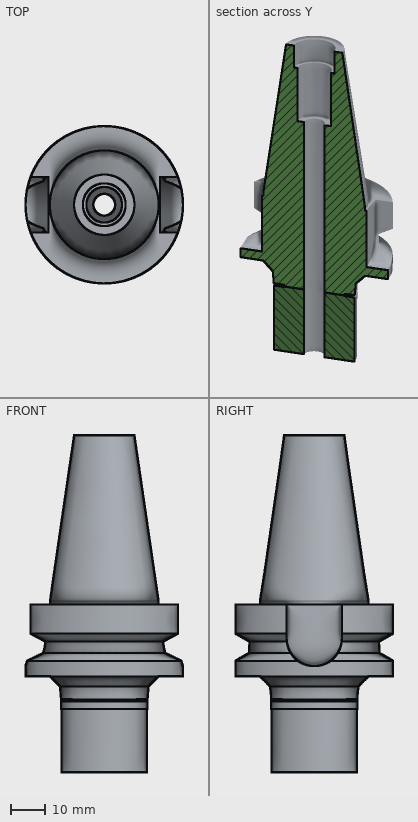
import cadquery as cq
import math


gauge_radius = 31.75 / 2
taper_length = 48.4
taper_ratio = 7 / 24
taper_tip_radius = gauge_radius - taper_length * taper_ratio / 2

flange_radius = 23.0
flange_top_z = -1.0
flange_bottom_z = -22.0
groove_flank_slope = math.tan(math.radians(30))
groove_top_z = -9.5
groove_bottom_z = -17.45
groove_floor_top_radius = 18.95
groove_floor_bottom_radius = 19.1
groove_floor_top_z = groove_top_z - (flange_radius - groove_floor_top_radius) * groove_flank_slope
groove_floor_bottom_z = groove_bottom_z + (flange_radius - groove_floor_bottom_radius) * groove_flank_slope

slot_width = 16.1
slot_floor_x = 16.3
slot_bottom_z = -19.0
slot_arc_center_z = slot_bottom_z + slot_width / 2

nut_shoulder_radius = 12.65
nose_cone_radius = 15.85
nose_top_radius = 12.95
nose_top_z = flange_bottom_z - (nose_cone_radius - nose_top_radius)
nose_bottom_z = -28.75
spigot_radius = 9.45
nut_gap = 0.55

nut_top_z = nose_bottom_z - nut_gap
nut_shoulder_height = 2.2
nut_shoulder_z = nut_top_z - nut_shoulder_height
nut_radius = 12.55
nut_bottom_z = -50.0

counterbore_radius = 6.25
counterbore_depth = 7.0
stud_bore_radius = 5.2
stud_bore_depth = 24.0
through_bore_radius = 3.15


def revolve_profile(points):
    """Solid of revolution about Z from (radius, z) points."""
    return cq.Workplane("XZ").polyline(points).close().revolve(360, (0, 0), (0, 1))


def cylinder(radius, bottom_z, top_z):
    return cq.Workplane("XY").workplane(offset=bottom_z).circle(radius).extrude(top_z - bottom_z)


def drive_slot(side):
    """Round-bottomed cutter, open at the flange top and rim; side is +1 or -1 along X."""
    half_width = slot_width / 2
    return (
        cq.Workplane("YZ")
        .workplane(offset=side * slot_floor_x)
        .moveTo(-half_width, flange_top_z)
        .lineTo(-half_width, slot_arc_center_z)
        .threePointArc((0, slot_bottom_z), (half_width, slot_arc_center_z))
        .lineTo(half_width, flange_top_z)
        .close()
        .extrude(side * (flange_radius - slot_floor_x))
    )


def make_holder():
    holder = revolve_profile([
        (0, taper_length),
        (taper_tip_radius, taper_length),
        (gauge_radius, 0),
        (gauge_radius, flange_top_z),
        (flange_radius, flange_top_z),
        (flange_radius, groove_top_z),
        (groove_floor_top_radius, groove_floor_top_z),
        (groove_floor_bottom_radius, groove_floor_bottom_z),
        (flange_radius, groove_bottom_z),
        (flange_radius, flange_bottom_z),
        (nose_cone_radius, flange_bottom_z),
        (nose_top_radius, nose_top_z),
        (nut_shoulder_radius, nose_bottom_z),
        (spigot_radius, nose_bottom_z),
        (spigot_radius, nut_top_z),
        (0, nut_top_z),
    ])
    for side in (1, -1):
        holder = holder.cut(drive_slot(side))
    holder = holder.cut(cylinder(counterbore_radius, taper_length - counterbore_depth, taper_length))
    holder = holder.cut(cylinder(stud_bore_radius, taper_length - stud_bore_depth, taper_length))
    return holder.cut(cylinder(through_bore_radius, nut_top_z, taper_length))


def make_nut():
    return revolve_profile([
        (through_bore_radius, nut_top_z),
        (nut_shoulder_radius, nut_top_z),
        (nut_shoulder_radius, nut_shoulder_z),
        (nut_radius, nut_shoulder_z),
        (nut_radius, nut_bottom_z),
        (through_bore_radius, nut_bottom_z),
    ])


holder = make_holder()
nut = make_nut()
result = cq.Compound.makeCompound([holder.val(), nut.val()])